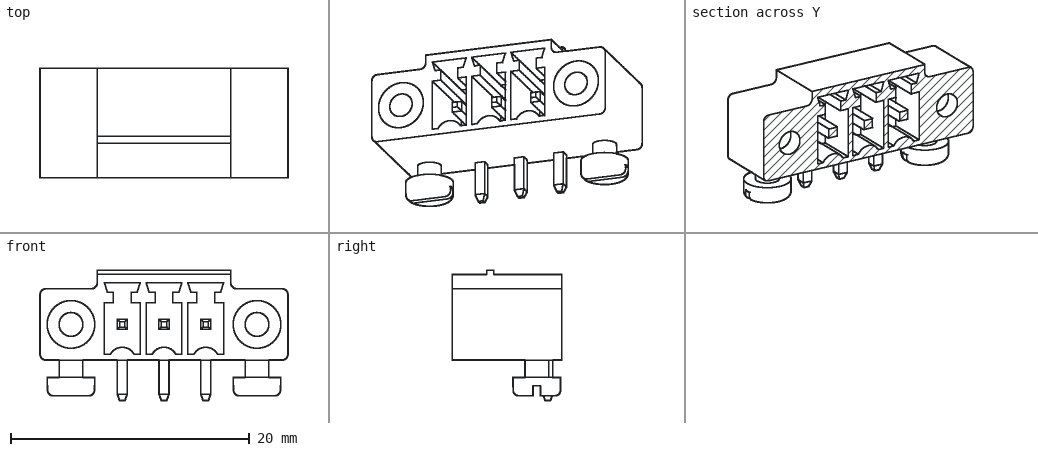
import cadquery as cq
import math

LENGTH = 20.8
DEPTH = 9.2
FLANGE_HEIGHT = 6.0
CORE_WIDTH = 11.2
CORE_HEIGHT = 7.2
CORNER_RADIUS = 0.5
SELECT_MARGIN = 0.1

TOTAL_HEIGHT = 7.55
RIB_FRONT = 2.9
RIB_WIDTH = 0.6

PITCH = 3.5
POLES = 3
CHAMBER_WIDTH = 3.0
CHAMBER_FLOOR = 0.5
CHAMBER_SHOULDER = 4.8
DOVETAIL_BOTTOM = 5.7
CHAMBER_TOP = 6.5
NECK_WIDTH = 1.5
DOVETAIL_BOTTOM_WIDTH = 2.5
BACK_WALL = 2.0
CHAMBER_DEPTH = DEPTH - BACK_WALL
HUMP_WIDTH = 2.0
HUMP_HEIGHT = 0.58

PIN_SIZE = 0.85
PIN_TIP_SIZE = 0.45
PIN_TIP_LENGTH = 0.55
PIN_AXIS_Z = 3.0
PIN_TO_BACK = 1.18
PIN_AXIS_Y = DEPTH - PIN_TO_BACK
PIN_FRONT = 1.4
PIN_BOTTOM = -3.4

FASTENER_X = 7.8
INSERT_DIAMETER = 4.0
INSERT_SETBACK = 0.01
INSERT_Z = FLANGE_HEIGHT / 2
INSERT_HOLE_DIAMETER = 2.0
INSERT_HOLE_DEPTH = 5.0
SCREW_TO_BACK = 2.1
SCREW_Y = DEPTH - SCREW_TO_BACK
SHANK_DIAMETER = 2.0
HEAD_TOP = -1.45
HEAD_BOTTOM = -3.0
HEAD_DIAMETER = 4.0
HEAD_ROUNDING = 0.5
SLOT_WIDTH = 0.6
SLOT_DEPTH = 0.85

POLE_POSITIONS = [(i - (POLES - 1) / 2) * PITCH for i in range(POLES)]
FASTENER_POSITIONS = [-FASTENER_X, FASTENER_X]


def front_plane():
    """Workplane on the front face with local axes X, Z; negative extrusion runs toward +Y."""
    return cq.Workplane("XZ")


def make_block(width, depth, height):
    """Box centred on x = 0, standing on z = 0 and starting at y = 0."""
    return cq.Workplane("XY").box(width, depth, height, centered=(True, False, False))


def make_housing():
    """Flanged block with a taller core, rounded along Y, and a rib across the core top."""
    flange = make_block(LENGTH, DEPTH, FLANGE_HEIGHT).edges("|Y").fillet(CORNER_RADIUS)
    core = make_block(CORE_WIDTH, DEPTH, CORE_HEIGHT)
    core_half = CORE_WIDTH / 2
    inner_corners = cq.selectors.BoxSelector(
        (-core_half - SELECT_MARGIN, -SELECT_MARGIN, FLANGE_HEIGHT - SELECT_MARGIN),
        (core_half + SELECT_MARGIN, DEPTH + SELECT_MARGIN, FLANGE_HEIGHT + SELECT_MARGIN),
    )
    body = flange.union(core).edges("|Y").edges(inner_corners).fillet(CORNER_RADIUS)
    rib = make_block(CORE_WIDTH, RIB_WIDTH, TOTAL_HEIGHT - CORE_HEIGHT)
    return body.union(rib.translate((0, RIB_FRONT, CORE_HEIGHT)))


def make_chamber(x):
    """Keyed chamber: wide lower bay with a floor hump, a neck and a dovetail on top."""
    half = CHAMBER_WIDTH / 2
    neck = NECK_WIDTH / 2
    dovetail = DOVETAIL_BOTTOM_WIDTH / 2
    hump = HUMP_WIDTH / 2
    return (
        front_plane()
        .moveTo(-half, CHAMBER_FLOOR)
        .lineTo(-hump, CHAMBER_FLOOR)
        .threePointArc((0, CHAMBER_FLOOR + HUMP_HEIGHT), (hump, CHAMBER_FLOOR))
        .lineTo(half, CHAMBER_FLOOR)
        .lineTo(half, CHAMBER_SHOULDER)
        .lineTo(neck, CHAMBER_SHOULDER)
        .lineTo(neck, DOVETAIL_BOTTOM)
        .lineTo(dovetail, DOVETAIL_BOTTOM)
        .lineTo(half, CHAMBER_TOP)
        .lineTo(-half, CHAMBER_TOP)
        .lineTo(-dovetail, DOVETAIL_BOTTOM)
        .lineTo(-neck, DOVETAIL_BOTTOM)
        .lineTo(-neck, CHAMBER_SHOULDER)
        .lineTo(-half, CHAMBER_SHOULDER)
        .close()
        .extrude(-CHAMBER_DEPTH)
        .translate((x, 0, 0))
    )


def make_pin_leg(length):
    """Square leg pointing down from the origin, ending in a tapered tip."""
    shaft_length = length - PIN_TIP_LENGTH
    taper = math.degrees(math.atan((PIN_SIZE - PIN_TIP_SIZE) / 2 / PIN_TIP_LENGTH))
    shaft = cq.Workplane("XY").rect(PIN_SIZE, PIN_SIZE).extrude(-shaft_length)
    tip = (
        cq.Workplane("XY", origin=(0, 0, -shaft_length))
        .rect(PIN_SIZE, PIN_SIZE)
        .extrude(-PIN_TIP_LENGTH, taper=taper)
    )
    return shaft.union(tip)


def make_pin(x):
    """Right-angle pin: one leg toward the front, one leg down through the seating plane."""
    front_leg = make_pin_leg(PIN_AXIS_Y - PIN_FRONT).rotate((0, 0, 0), (1, 0, 0), -90)
    down_leg = make_pin_leg(PIN_AXIS_Z - PIN_BOTTOM)
    return front_leg.union(down_leg).translate((x, PIN_AXIS_Y, PIN_AXIS_Z))


def make_screw(x):
    """Slotted screw with a cylindrical head and rounded lower rim."""
    shank_radius = SHANK_DIAMETER / 2
    head_radius = HEAD_DIAMETER / 2
    rim_flat = head_radius - HEAD_ROUNDING
    rim_top = HEAD_BOTTOM + HEAD_ROUNDING
    arc_offset = HEAD_ROUNDING * math.sqrt(0.5)
    arc_middle = (rim_flat + arc_offset, rim_top - arc_offset)
    screw = (
        cq.Workplane("XZ")
        .moveTo(0, HEAD_BOTTOM)
        .lineTo(rim_flat, HEAD_BOTTOM)
        .threePointArc(arc_middle, (head_radius, rim_top))
        .lineTo(head_radius, HEAD_TOP)
        .lineTo(shank_radius, HEAD_TOP)
        .lineTo(shank_radius, 0)
        .lineTo(0, 0)
        .close()
        .revolve(360, (0, 0, 0), (0, 1, 0))
    )
    slot = (
        cq.Workplane("XY", origin=(0, 0, HEAD_BOTTOM))
        .rect(HEAD_DIAMETER, SLOT_WIDTH)
        .extrude(SLOT_DEPTH)
    )
    return screw.cut(slot).translate((x, SCREW_Y, 0))


def make_insert_bore(x):
    """Blind bore of a flange insert, with the insert face set back by a hair."""
    center = front_plane().center(x, INSERT_Z)
    face = center.circle(INSERT_DIAMETER / 2).extrude(-INSERT_SETBACK)
    hole = center.circle(INSERT_HOLE_DIAMETER / 2).extrude(-INSERT_HOLE_DEPTH)
    return face.union(hole)


result = make_housing()
for pole_x in POLE_POSITIONS:
    result = result.cut(make_chamber(pole_x)).union(make_pin(pole_x))
for fastener_x in FASTENER_POSITIONS:
    result = result.cut(make_insert_bore(fastener_x)).union(make_screw(fastener_x))